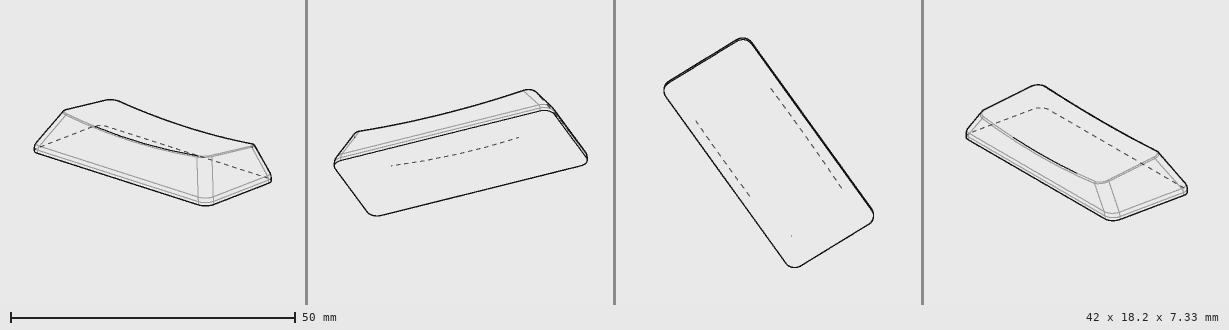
import math

import cadquery as cq

length = 41.95
width = 18.17
corner_radius = 1.9

skirt_height = 0.65
shoulder_height = 0.75

top_tilt = 6.2
rim_length = 34.5
rim_front = -5.37
rim_back = 8.65
rim_height = 6.95

dish_radius = 153.2
dish_height = 5.9
rim_edge_radius = 0.3

top_slope = math.tan(math.radians(top_tilt))


def wall_lean(inset, rim_y):
    """Angle from vertical of a wall that reaches the rim after moving inward by inset."""
    wall_foot = skirt_height + shoulder_height / 2
    wall_top = rim_height - rim_y * top_slope
    return math.atan(inset / (wall_top - wall_foot))


side_lean = wall_lean((length - rim_length) / 2, (rim_front + rim_back) / 2)
front_lean = wall_lean(width / 2 + rim_front, rim_front)
back_lean = wall_lean(width / 2 - rim_back, rim_back)


def rounded_rectangle(size_x, size_y):
    return cq.Sketch().rect(size_x, size_y).vertices().fillet(corner_radius)


def shoulder_inset(lean, rise):
    """Distance the shoulder arc has moved inward at a rise above the skirt."""
    radius = shoulder_height / math.sin(lean)
    return radius - math.sqrt(radius**2 - rise**2)


def shoulder_outline(rise):
    """Outline of the shoulder at a rise above the skirt."""
    side = shoulder_inset(side_lean, rise)
    front = shoulder_inset(front_lean, rise)
    back = shoulder_inset(back_lean, rise)
    outline = rounded_rectangle(length - 2 * side, width - front - back)
    centre = cq.Vector(0, (front - back) / 2, skirt_height + rise)
    return outline.moved(cq.Location(centre))


def rim_outline():
    """Outline of the rim on its tilted plane."""
    middle_y = (rim_front + rim_back) / 2
    centre = cq.Vector(0, middle_y, rim_height - middle_y * top_slope)
    rim_width = (rim_back - rim_front) / math.cos(math.radians(top_tilt))
    tilted = cq.Location(centre, cq.Vector(1, 0, 0), -top_tilt)
    return rounded_rectangle(rim_length, rim_width).moved(tilted)


def make_blank():
    """Skirt, shoulder and leaning walls stacked up to a flat tilted top."""
    skirt = cq.Workplane("XY").placeSketch(rounded_rectangle(length, width)).extrude(skirt_height)
    shoulder_outlines = [shoulder_outline(shoulder_height * part) for part in (0, 0.5, 1)]
    shoulder = cq.Workplane("XY").placeSketch(*shoulder_outlines).loft()
    walls = cq.Workplane("XY").placeSketch(shoulder_outlines[-1], rim_outline()).loft(ruled=True)
    return skirt.union(shoulder).union(walls)


def make_dish_cutter():
    """Cylinder whose underside hollows the top, its axis parallel to the tilted plane."""
    return (
        cq.Workplane("XZ")
        .center(0, dish_radius)
        .circle(dish_radius)
        .extrude(width, both=True)
        .rotate((0, 0, 0), (1, 0, 0), -top_tilt)
        .translate((0, 0, dish_height))
    )


dished = make_blank().cut(make_dish_cutter())
result = dished.faces(">Z").edges().fillet(rim_edge_radius)